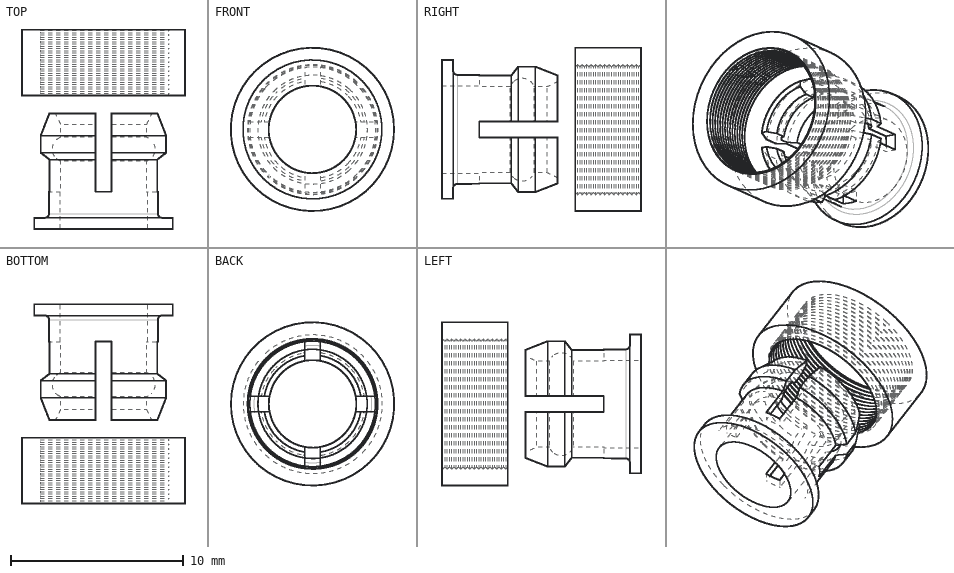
import cadquery as cq
import math

total_length = 11.58

ring_diameter = 9.5
ring_length = 3.83
ring_bore_diameter = 7.3
groove_depth = 0.14
full_groove_count = 14
last_groove_fraction = 0.65
groove_pitch = ring_length / (full_groove_count + last_groove_fraction)

flange_diameter = 8.07
sleeve_diameter = 6.35
bead_diameter = 7.35
bore_diameter = 5.07

flange_thickness = 0.66
slot_start = 2.18
bead_cone_start = 4.04
bead_start = 4.44
bead_end = 5.43
bushing_length = 6.73

flange_fillet = 0.24
slot_width = 0.91

seat_radius = 0.74
seat_depth = 0.49
seat_position = 4.65

mouth_diameter = 5.67
mouth_length = 0.63


def make_bushing_blank():
    """Revolve the bushing wall about the Y axis."""
    flange_radius = flange_diameter / 2
    sleeve_radius = sleeve_diameter / 2
    bead_radius = bead_diameter / 2
    bore_radius = bore_diameter / 2
    seat_bottom = bore_radius + seat_depth
    seat_half_width = math.sqrt(seat_radius**2 - (seat_radius - seat_depth) ** 2)
    return (
        cq.Workplane("XY")
        .moveTo(bore_radius, 0)
        .lineTo(flange_radius, 0)
        .lineTo(flange_radius, flange_thickness)
        .lineTo(sleeve_radius + flange_fillet, flange_thickness)
        .radiusArc((sleeve_radius, flange_thickness + flange_fillet), flange_fillet)
        .lineTo(sleeve_radius, bead_cone_start)
        .lineTo(bead_radius, bead_start)
        .lineTo(bead_radius, bead_end)
        .lineTo(sleeve_radius, bushing_length)
        .lineTo(mouth_diameter / 2, bushing_length)
        .lineTo(bore_radius, bushing_length - mouth_length)
        .lineTo(bore_radius, seat_position + seat_half_width)
        .threePointArc((seat_bottom, seat_position), (bore_radius, seat_position - seat_half_width))
        .close()
        .revolve(360, (0, 0, 0), (0, 1, 0))
    )


def make_slots():
    """Two crossing slots, open at the back end and passing through the whole sleeve."""
    slot_length = bushing_length - slot_start
    slot = (
        cq.Workplane("XY", origin=(0, slot_start, 0))
        .box(slot_width, slot_length, bead_diameter, centered=(True, False, True))
    )
    crossing_slot = slot.rotate((0, 0, 0), (0, 1, 0), 90)
    return slot.union(crossing_slot)


def make_bushing():
    return make_bushing_blank().cut(make_slots())


def make_ring():
    """Revolve the ring section; its inner side zigzags between groove crests and roots."""
    outer_radius = ring_diameter / 2
    crest_radius = ring_bore_diameter / 2
    root_radius = crest_radius + groove_depth
    cut_off_radius = crest_radius + 2 * groove_depth * (1 - last_groove_fraction)
    front = total_length - ring_length
    section = (
        cq.Workplane("XY")
        .moveTo(cut_off_radius, total_length)
        .lineTo(outer_radius, total_length)
        .lineTo(outer_radius, front)
    )
    for index in range(full_groove_count + 1):
        groove_start = front + index * groove_pitch
        section = section.lineTo(crest_radius, groove_start)
        section = section.lineTo(root_radius, groove_start + groove_pitch / 2)
    return section.close().revolve(360, (0, 0, 0), (0, 1, 0))


bushing = make_bushing()
ring = make_ring()
result = cq.Compound.makeCompound([bushing.val(), ring.val()])